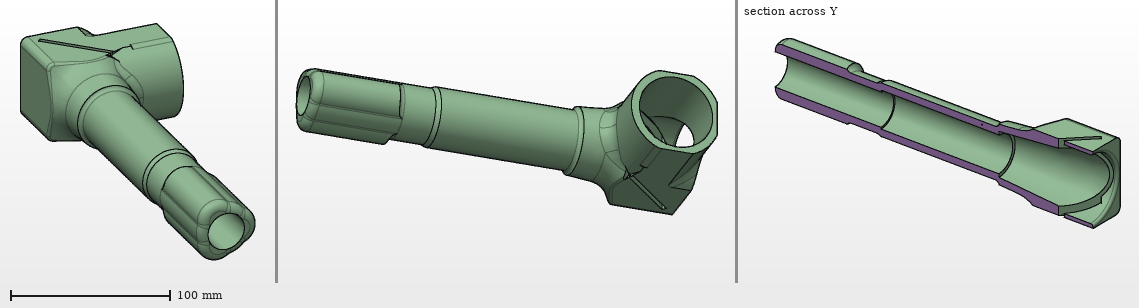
import cadquery as cq
import math

length = 255.0
half_block = 27.5
arm_end_y = 59.2
arm_axis_x = half_block
arm_radius = 29.8
block_fillet = 5.0
valley_fillet = 9.0
neck_fillet = 9.0
flare_edge_round = 2.5
arm_edge_fillet = 10.2
arm_edge_start_x, arm_edge_start_y = 36.7, 31.4
web_edge_x, web_edge_y = 46.0, 7.6

flare_start_x, flare_start_radius = 41.3, 37.7
flare_mid_x, flare_mid_radius = 49.0, 27.0
neck_start_x, neck_start_radius = 60.0, 23.2
neck_end_x, neck_end_radius = 75.5, 22.0

grip_start_x, grip_end_x, grip_radius = 79.3, 169.8, 19.5
tail_start_x, tail_radius = 173.1, 18.0

lug_count = 3
lug_start_x = 193.8
lug_cove = 4.3
lug_offset = 9.5
lug_radius = 12.5
lug_tip = lug_offset + lug_radius
lug_root_fillet = 3.0
end_round = 5.5

bore_radius = 24.5
mouth_round = 2.0
cone_start_radius, cone_end_radius = 23.0, 16.3
grip_bore_radius = 13.8
tail_bore_radius = 12.5

slot_length, slot_width = 49.0, 3.0
slot_y = -0.5
slot_angle = 45.0
slot_x = arm_axis_x + slot_y - slot_width * math.sqrt(0.5)

arc_share = 0.29


def x_cylinder(radius, x_start, x_end):
    """Cylinder about the shaft axis."""
    return cq.Workplane("YZ", origin=(x_start, 0, 0)).circle(radius).extrude(x_end - x_start)


def y_cylinder(radius, y_start):
    """Cylinder about the side arm axis, running to the arm's end."""
    return cq.Workplane("XZ", origin=(arm_axis_x, y_start, 0)).circle(radius).extrude(y_start - arm_end_y)


def head_box(y_start, y_end):
    """Full-height box starting at the open face."""
    return (
        cq.Workplane("XY")
        .box(grip_start_x, y_end - y_start, 2 * half_block, centered=(False, False, True))
        .translate((0, y_start, 0))
    )


def revolve_about_shaft(profile):
    return profile.close().revolve(360, (0, 0, 0), (1, 0, 0))


def edges_within(corner_a, corner_b):
    """Selects edges whose centers lie in the box between two corners."""
    return cq.selectors.BoxSelector(corner_a, corner_b)


def make_neck():
    """Solid of revolution holding the head's flare and the tapered neck."""
    step = neck_end_radius - grip_radius
    return revolve_about_shaft(
        cq.Workplane("XY")
        .lineTo(0, 2 * half_block)
        .lineTo(flare_start_x, 2 * half_block)
        .lineTo(flare_start_x, flare_start_radius)
        .threePointArc((flare_mid_x, flare_mid_radius), (neck_start_x, neck_start_radius))
        .lineTo(neck_end_x, neck_end_radius)
        .threePointArc((neck_end_x + arc_share * (grip_start_x - neck_end_x),
                        grip_radius + arc_share * step),
                       (grip_start_x, grip_radius))
        .lineTo(grip_start_x, 0)
    )


def make_head():
    lower = head_box(-half_block, 0).edges("|X and <Y").fillet(block_fillet)
    web = (
        cq.Workplane("XY", origin=(0, 0, -half_block))
        .polyline([(arm_axis_x, 0), (arm_axis_x, arm_edge_start_y),
                   (arm_edge_start_x, arm_edge_start_y), (web_edge_x, web_edge_y), (web_edge_x, 0)])
        .close()
        .extrude(2 * half_block)
    )
    main_arm = x_cylinder(arm_radius, 0, grip_start_x).union(lower).union(web).intersect(make_neck())
    head = main_arm.union(y_cylinder(arm_radius, 0)).intersect(head_box(-half_block, arm_end_y))

    side = arm_radius
    valley = edges_within((2.5, 15.3, -24.2), (10.2, 25.5, 24.2))
    head = head.edges(valley).fillet(valley_fillet)
    seam = edges_within((web_edge_x + 1.3, 12.8, -side), (neck_start_x, side, side))
    head = head.edges(seam).fillet(neck_fillet)
    flare_rim = edges_within((flare_start_x + 0.8, -side, -side), (49.2, web_edge_y, side))
    head = head.edges(flare_rim).fillet(flare_edge_round)
    return head.cut(make_arm_edge_waste())


def make_arm_edge_waste():
    """Material to remove so that the side arm's flat faces roll into its round side."""
    sharp = y_cylinder(arm_radius, arm_edge_start_y).intersect(head_box(arm_edge_start_y, arm_end_y))
    flat_edges = edges_within((arm_axis_x, arm_edge_start_y + 2.5, -arm_radius),
                              (neck_start_x, arm_end_y - 2.5, arm_radius))
    return sharp.cut(sharp.edges(flat_edges).fillet(arm_edge_fillet))


def make_tail():
    """Tail with lugs, trimmed by a turned outline that coves the lug starts."""
    tail = x_cylinder(tail_radius, tail_start_x, length)
    lug = x_cylinder(lug_radius, lug_start_x, length).translate((0, lug_offset, 0))
    for i in range(lug_count):
        tail = tail.union(lug.rotate((0, 0, 0), (1, 0, 0), i * 360 / lug_count))
    middle_x = (lug_start_x + length) / 2
    roots = edges_within((middle_x - 2.5, -lug_tip, -lug_tip), (middle_x + 2.5, lug_tip, lug_tip))
    tail = tail.edges(roots).fillet(lug_root_fillet)

    cove_end_x = lug_start_x + lug_cove
    cove_top = tail_radius + lug_cove
    outline = revolve_about_shaft(
        cq.Workplane("XY")
        .moveTo(tail_start_x, 0)
        .lineTo(tail_start_x, tail_radius)
        .lineTo(lug_start_x, tail_radius)
        .threePointArc((cove_end_x - arc_share * lug_cove, tail_radius + arc_share * lug_cove),
                       (cove_end_x, cove_top))
        .lineTo(length, cove_top)
        .lineTo(length, 0)
    )
    return tail.intersect(outline).faces(">X").edges().fillet(end_round)


def make_shaft():
    grip = revolve_about_shaft(
        cq.Workplane("XY")
        .moveTo(neck_end_x, 0)
        .lineTo(neck_end_x, grip_radius)
        .lineTo(grip_end_x, grip_radius)
        .lineTo(tail_start_x, tail_radius)
        .lineTo(tail_start_x, 0)
    )
    return grip.union(make_tail())


def make_elbow_bore():
    """Bores of the open face and the side arm, both stopped by a wall at 45 degrees."""
    mouth = revolve_about_shaft(
        cq.Workplane("XY")
        .lineTo(0, bore_radius + mouth_round)
        .threePointArc((arc_share * mouth_round, bore_radius + arc_share * mouth_round),
                       (mouth_round, bore_radius))
        .lineTo(mouth_round, 0)
    )
    open_side = (
        cq.Workplane("XY", origin=(0, 0, -half_block))
        .polyline([(arm_axis_x - half_block, -half_block), (arm_axis_x + arm_end_y, arm_end_y),
                   (0, arm_end_y)])
        .close()
        .extrude(2 * half_block)
    )
    bores = x_cylinder(bore_radius, 0, grip_start_x).union(y_cylinder(bore_radius, -bore_radius))
    return bores.intersect(open_side).union(mouth)


def make_shaft_bore():
    """Tapered bore in the neck, then two straight bores through to the tail."""
    return revolve_about_shaft(
        cq.Workplane("XY")
        .moveTo(mouth_round, 0)
        .lineTo(mouth_round, cone_start_radius)
        .lineTo(neck_end_x, cone_end_radius)
        .lineTo(neck_end_x, grip_bore_radius)
        .lineTo(grip_end_x, grip_bore_radius)
        .lineTo(grip_end_x, tail_bore_radius)
        .lineTo(length, tail_bore_radius)
        .lineTo(length, 0)
    )


def make_slot():
    return (
        cq.Workplane("XY")
        .box(slot_length, slot_width, 3 * half_block)
        .rotate((0, 0, 0), (0, 0, 1), slot_angle)
        .translate((slot_x, slot_y, 0))
    )


result = (
    make_head()
    .union(make_shaft())
    .cut(make_elbow_bore())
    .cut(make_shaft_bore())
    .cut(make_slot())
)